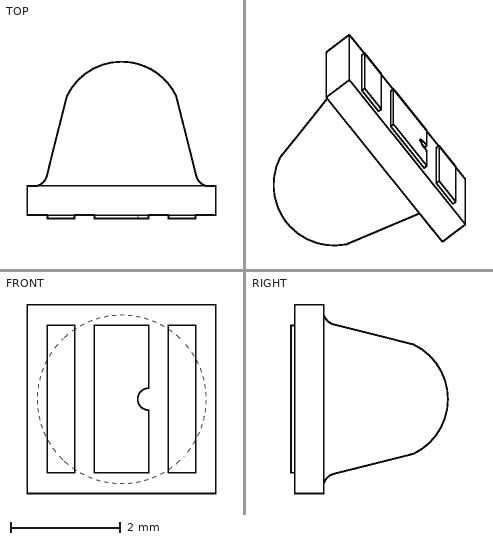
import cadquery as cq

plate_side = 3.45
plate_thickness = 0.535

pad_thickness = 0.065
pad_height = 2.698
side_pad_width = 0.497
side_pad_offset = 1.105
center_pad_width = 0.995
notch_radius = 0.2

overall_depth = 2.87
lens_height = overall_depth - plate_thickness - pad_thickness
foot_radius = 1.542
foot_height = 0.185
body_base_radius = 1.365
body_top_radius = 1.0
cap_height = 0.628
cap_base = lens_height - cap_height
cap_radius = (body_top_radius**2 + cap_height**2) / (2 * cap_height)

plate_back = -overall_depth / 2 + pad_thickness
plate_front = plate_back + plate_thickness


def make_plate():
    return cq.Workplane("XY").box(plate_side, plate_thickness, plate_side).translate(
        (0, plate_back + plate_thickness / 2, 0)
    )


def make_pad(center_x, width):
    return cq.Workplane("XY").box(width, pad_thickness, pad_height).translate(
        (center_x, plate_back - pad_thickness / 2, 0)
    )


def make_center_pad():
    """Wide pad with a half-round notch in the middle of its +X edge."""
    notch = (
        cq.Workplane("XZ", origin=(center_pad_width / 2, plate_back, 0))
        .circle(notch_radius)
        .extrude(pad_thickness)
    )
    return make_pad(0, center_pad_width).cut(notch)


def make_lens():
    """Revolve the half profile about Y; the foot arc runs on tangent from the taper."""
    cap_mid_radius = body_top_radius / 2
    cap_center = lens_height - cap_radius
    cap_mid_height = cap_center + (cap_radius**2 - cap_mid_radius**2) ** 0.5
    return (
        cq.Workplane("XY", origin=(0, plate_front, 0))
        .lineTo(0, lens_height)
        .threePointArc((cap_mid_radius, cap_mid_height), (body_top_radius, cap_base))
        .lineTo(body_base_radius, foot_height)
        .tangentArcPoint((foot_radius, 0), relative=False)
        .close()
        .revolve(360, (0, 0, 0), (0, 1, 0))
    )


result = make_plate().union(make_lens()).union(make_center_pad())
for side in (-1, 1):
    result = result.union(make_pad(side * side_pad_offset, side_pad_width))